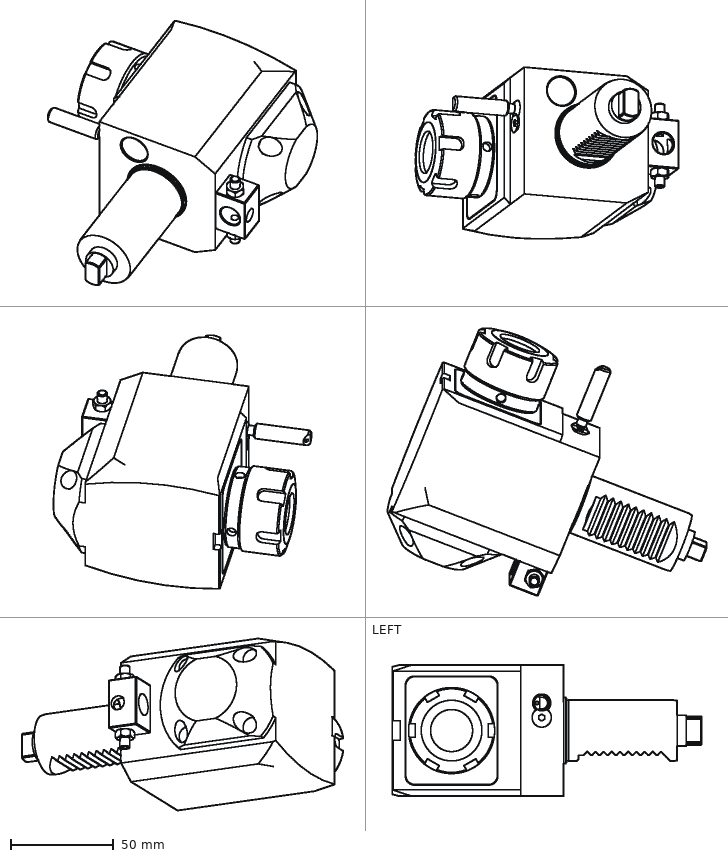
import cadquery as cq
import math


HALF_WIDTH = 32.0
HOUSING_LENGTH = 83.7
PAD_THICKNESS = 3.2
PAD_START_Y = 20.8
SIDE_BEVEL_WIDTH = 11.2
SIDE_BEVEL_ANGLE = 30
BACK_EDGE_CHAMFER = 0.6
CROWN_RADIUS = 148.0
CROWN_TAPER = 15
CROWN_CENTER_X = -9.5
CROWN_BACK_HEIGHT = 31.1
NOTCH_WIDTH = 9.7
NOTCH_LENGTH = 4.0

PLUG_X = -12.8
PLUG_Z = 21.6
PLUG_RADIUS = 7.5
PLUG_DEPTH = 0.8
PLUG_TAPER = 0.5
PANEL_LENGTH = 45.1
PANEL_HEIGHT = 53.2
PANEL_CORNER = 4.5
PANEL_GROOVE_WIDTH = 0.3
PANEL_GROOVE_DEPTH = 0.2

SPINDLE_Y = 54.7
NUT_FACE_X = -64.0
NUT_SHOULDER_X = -62.5
NUT_RIM_X = -61.8
NUT_BACK_X = -43.3
COLLAR_FRONT_X = -42.1
COLLAR_BACK_X = -36.1
NUT_RADIUS = 21.0
NUT_SHOULDER_RADIUS = 20.4
NUT_FACE_RADIUS = 14.8
FACE_LINE_DEPTH = 0.2
NECK_RADIUS = 16.6
COLLAR_RADIUS = 20.0
COLLAR_NECK_RADIUS = 19.3
BORE_RADIUS = 10.3
BORE_DEPTH = 2.3
NUT_SLOTS = 6
SLOT_WIDTH = 6.6
SLOT_END_X = -51.6
UPPER_SLOT_END_X = -50.0
SLOT_FLOOR_RADIUS = 17.8
SLOT_CORNER = 3.0
COLLAR_HOLES = 4
COLLAR_HOLE_RADIUS = 2.3
COLLAR_HOLE_DEPTH = 3.0

CAP_RADIUS = 32.0
CAP_RIM = 3.0
CAP_END_X = 50.5
CAP_FLAT_HALF = 23.0
CAP_FLAT_END_X = 38.0
CAP_FLAT_ANGLE = 30
CAP_HOLES = 4
CAP_HOLE_RADIUS = 4.5
CAP_HOLE_CIRCLE = 24.5

BLOCK_LENGTH_X = 16.0
BLOCK_NEAR_Y = 0.8
BLOCK_FAR_Y = 15.9
BLOCK_HALF_HEIGHT = 12.2
BLOCK_CHAMFER = 0.5
FITTING_X = 39.9
FITTING_Y = 5.9
BLOCK_BORE_RADIUS = 5.3
HEX_CORNERS = 9.4
HEX_HEIGHT = 3.8
HEX_CHAMFER = 0.6
STEM_RADIUS = 2.4
STEM_HEIGHT = 4.8
STEM_CHAMFER = 0.5
FITTING_BORE_RADIUS = 1.8
SIDE_PORT_RADIUS = 3.5

NOZZLE_Y = 10.7
NOZZLE_Z = 13.5
NOZZLE_TIP_X = -65.0
NOZZLE_BACK_X = -37.1
NOZZLE_RADIUS = 3.8
NOZZLE_CHAMFER = 0.9
NOZZLE_BEVEL = 2.9
NOZZLE_NECK_RADIUS = 2.4
NOZZLE_HOLE_RADIUS = 0.8
BALL_RADIUS = 4.8
BALL_EXPOSED = 2.0
BALL_BASE_RADIUS = 4.4
SCREW_Z = 6.3
SCREW_RADIUS = 4.7
SCREW_HEIGHT = 1.4
SCREW_SOCKET_CORNERS = 3.3
SCREW_SOCKET_DEPTH = 0.9

FLANGE_RADIUS = 16.2
FLANGE_LENGTH = 1.5
FLANGE_CHAMFER = 0.6
SHANK_RADIUS = 15.0
SHANK_END_Y = -55.3
SHANK_RELIEF_START_Y = -2.4
SHANK_RELIEF_RADIUS = 14.8
SHANK_END_CHAMFER = 1.8
SHANK_END_RADIUS = 14.6
DRIVE_RADIUS = 7.5
DRIVE_END_Y = -59.6
TANG_HALF_WIDTH = 4.0
TANG_RADIUS = 7.1
TANG_END_Y = HOUSING_LENGTH - 151
TANG_CHAMFER = 0.5
TOOTH_GAPS = 10
TOOTH_TIP_Z = -12.1
TOOTH_ROOT_Z = -10.3
FIRST_GAP_Y = -11.5
LAST_GAP_Y = -47.4
TOOTH_PITCH = (FIRST_GAP_Y - LAST_GAP_Y) / (TOOTH_GAPS - 1)
RACK_START_Y = -7.2
RACK_WALL_CHAMFER = 0.9

OVERLAP = 1.5
PAD_X = -HALF_WIDTH - PAD_THICKNESS


def revolve_about_x(points, y, z=0):
    """Solid of revolution from (x, radius) points about a line parallel to X."""
    outline = cq.Workplane("XY").polyline(points).close()
    return outline.revolve(360, (0, 0, 0), (1, 0, 0)).translate((0, y, z))


def revolve_about_y(points, x=0, z=0):
    """Solid of revolution from (radius, y) points about a line parallel to Y."""
    outline = cq.Workplane("XY").polyline(points).close()
    return outline.revolve(360, (0, 0, 0), (0, 1, 0)).translate((x, 0, z))


def block(x_range, y_range, z_range):
    """Rectangular block between the given limits."""
    size = [high - low for low, high in (x_range, y_range, z_range)]
    return cq.Workplane("XY").box(*size, centered=False).translate((x_range[0], y_range[0], z_range[0]))


def rod_along_x(x_start, x_end, radius, y, z):
    return cq.Workplane("YZ", origin=(x_start, y, z)).circle(radius).extrude(x_end - x_start)


def make_housing():
    bevel_height = HALF_WIDTH - SIDE_BEVEL_WIDTH * math.tan(math.radians(SIDE_BEVEL_ANGLE))
    bevel_x = HALF_WIDTH - SIDE_BEVEL_WIDTH
    pad_height = HALF_WIDTH - PAD_THICKNESS
    section = [
        (PAD_X, -pad_height),
        (-HALF_WIDTH, -HALF_WIDTH),
        (bevel_x, -HALF_WIDTH),
        (HALF_WIDTH, -bevel_height),
        (HALF_WIDTH, bevel_height),
        (bevel_x, HALF_WIDTH),
        (-HALF_WIDTH, HALF_WIDTH),
        (PAD_X, pad_height),
    ]
    housing = cq.Workplane("XZ").polyline(section).close().extrude(-HOUSING_LENGTH)
    housing = housing.faces("<X").edges(">Y").chamfer(BACK_EDGE_CHAMFER)
    housing = housing.cut(
        block((PAD_X, -HALF_WIDTH), (0, PAD_START_Y), (-HALF_WIDTH, HALF_WIDTH))
    )

    growth = HOUSING_LENGTH * math.tan(math.radians(CROWN_TAPER))
    cone = [
        (0, 0),
        (CROWN_RADIUS + growth, 0),
        (CROWN_RADIUS, HOUSING_LENGTH),
        (0, HOUSING_LENGTH),
    ]
    for side in (1, -1):
        axis_z = side * (CROWN_BACK_HEIGHT - CROWN_RADIUS)
        housing = housing.intersect(revolve_about_y(cone, CROWN_CENTER_X, axis_z))

    notch = block(
        (PAD_X, -HALF_WIDTH),
        (HOUSING_LENGTH - NOTCH_LENGTH, HOUSING_LENGTH),
        (-NOTCH_WIDTH / 2, NOTCH_WIDTH / 2),
    )
    return housing.cut(notch)


def make_face_marks():
    """Plug recess in the seating face and thin groove framing the spindle."""
    plug = cq.Workplane("XZ", origin=(PLUG_X, 0, PLUG_Z)).circle(PLUG_RADIUS).extrude(-PLUG_DEPTH)
    plug = plug.faces(">Y").chamfer(PLUG_TAPER)

    def panel(inset):
        frame = cq.Workplane("YZ", origin=(PAD_X, SPINDLE_Y, 0))
        frame = frame.rect(PANEL_LENGTH - 2 * inset, PANEL_HEIGHT - 2 * inset)
        return frame.extrude(PANEL_GROOVE_DEPTH).edges("|X").fillet(PANEL_CORNER - inset)

    return plug.union(panel(0).cut(panel(PANEL_GROOVE_WIDTH)))


def make_spindle():
    floor_x = NUT_FACE_X + BORE_DEPTH
    profile = [
        (floor_x, 0),
        (floor_x, BORE_RADIUS),
        (NUT_FACE_X + FACE_LINE_DEPTH, BORE_RADIUS),
        (NUT_FACE_X + FACE_LINE_DEPTH, NUT_FACE_RADIUS),
        (NUT_FACE_X, NUT_FACE_RADIUS),
        (NUT_SHOULDER_X, NUT_SHOULDER_RADIUS),
        (NUT_RIM_X, NUT_RADIUS),
        (NUT_BACK_X, NUT_RADIUS),
        (NUT_BACK_X, NECK_RADIUS),
        (COLLAR_FRONT_X, NECK_RADIUS),
        (COLLAR_FRONT_X, COLLAR_RADIUS),
        (COLLAR_BACK_X, COLLAR_RADIUS),
        (COLLAR_BACK_X, COLLAR_NECK_RADIUS),
        (PAD_X + OVERLAP, COLLAR_NECK_RADIUS),
        (PAD_X + OVERLAP, 0),
    ]
    spindle = revolve_about_x(profile, SPINDLE_Y)
    axis_start = (0, SPINDLE_Y, 0)
    axis_end = (1, SPINDLE_Y, 0)

    for i in range(NUT_SLOTS):
        angle = 90 + i * 360 / NUT_SLOTS
        on_top = i > NUT_SLOTS / 2
        slot = block(
            (NUT_FACE_X, UPPER_SLOT_END_X if on_top else SLOT_END_X),
            (SPINDLE_Y - SLOT_WIDTH / 2, SPINDLE_Y + SLOT_WIDTH / 2),
            (SLOT_FLOOR_RADIUS, NUT_RADIUS + OVERLAP),
        )
        slot = slot.edges("|Z and >X").fillet(SLOT_CORNER)
        spindle = spindle.cut(slot.rotate(axis_start, axis_end, angle))

    hole_x = (COLLAR_FRONT_X + COLLAR_BACK_X) / 2
    hole = cq.Workplane("XY", origin=(hole_x, SPINDLE_Y, COLLAR_RADIUS - COLLAR_HOLE_DEPTH))
    hole = hole.circle(COLLAR_HOLE_RADIUS).extrude(COLLAR_HOLE_DEPTH + OVERLAP)
    for i in range(COLLAR_HOLES):
        spindle = spindle.cut(hole.rotate(axis_start, axis_end, i * 360 / COLLAR_HOLES))
    return spindle


def make_cap():
    rim_x = HALF_WIDTH + CAP_RIM
    inner_x = HALF_WIDTH - OVERLAP
    end_radius = CAP_RADIUS - (CAP_END_X - rim_x)
    profile = [
        (inner_x, 0),
        (inner_x, CAP_RADIUS),
        (rim_x, CAP_RADIUS),
        (CAP_END_X, end_radius),
        (CAP_END_X, 0),
    ]
    cap = revolve_about_x(profile, SPINDLE_Y)

    slope_drop = (CAP_END_X - CAP_FLAT_END_X) * math.tan(math.radians(CAP_FLAT_ANGLE))
    end_half = CAP_FLAT_HALF - slope_drop
    envelope = [
        (inner_x, -CAP_FLAT_HALF),
        (CAP_FLAT_END_X, -CAP_FLAT_HALF),
        (CAP_END_X, -end_half),
        (CAP_END_X, end_half),
        (CAP_FLAT_END_X, CAP_FLAT_HALF),
        (inner_x, CAP_FLAT_HALF),
    ]
    cap = cap.intersect(cq.Workplane("XZ").polyline(envelope).close().extrude(-HOUSING_LENGTH))

    holes = cq.Workplane("YZ", origin=(rim_x, SPINDLE_Y, 0))
    holes = holes.polarArray(CAP_HOLE_CIRCLE, 45, 360, CAP_HOLES).circle(CAP_HOLE_RADIUS)
    return cap.cut(holes.extrude(CAP_END_X - rim_x))


def make_coolant_block():
    body = block(
        (HALF_WIDTH - OVERLAP, HALF_WIDTH + BLOCK_LENGTH_X),
        (BLOCK_NEAR_Y, BLOCK_FAR_Y),
        (-BLOCK_HALF_HEIGHT, BLOCK_HALF_HEIGHT),
    )
    body = body.faces(">X or >Z or <Z").edges("not(<X)").chamfer(BLOCK_CHAMFER)

    foot = cq.Workplane("XY", origin=(FITTING_X, FITTING_Y, BLOCK_HALF_HEIGHT - OVERLAP))
    hexagon = foot.polygon(6, HEX_CORNERS).extrude(OVERLAP + HEX_HEIGHT)
    hex_disc = foot.workplane(offset=OVERLAP).circle(HEX_CORNERS / 2).extrude(HEX_HEIGHT)
    hexagon = hexagon.intersect(hex_disc.chamfer(HEX_CHAMFER))
    stem = foot.circle(STEM_RADIUS).extrude(OVERLAP + HEX_HEIGHT + STEM_HEIGHT)
    fitting = hexagon.union(stem.faces(">Z").chamfer(STEM_CHAMFER))
    body = body.union(fitting).union(fitting.mirror("XY"))

    cross_bore = cq.Workplane("XZ", origin=(FITTING_X, 0, 0)).circle(BLOCK_BORE_RADIUS)
    body = body.cut(cross_bore.extrude(-BLOCK_FAR_Y))
    mouth = cq.Workplane("XZ", origin=(FITTING_X, BLOCK_NEAR_Y, 0))
    mouth = mouth.circle(BLOCK_BORE_RADIUS + BLOCK_CHAMFER).extrude(-BLOCK_CHAMFER, taper=45)
    body = body.cut(mouth)
    fitting_top = BLOCK_HALF_HEIGHT + HEX_HEIGHT + STEM_HEIGHT
    fitting_bore = cq.Workplane("XY", origin=(FITTING_X, FITTING_Y, 0)).circle(FITTING_BORE_RADIUS)
    body = body.cut(fitting_bore.extrude(fitting_top, both=True))
    side_port = rod_along_x(FITTING_X, HALF_WIDTH + BLOCK_LENGTH_X, SIDE_PORT_RADIUS, FITTING_Y, 0)
    return body.cut(side_port)


def make_nozzle():
    tube = rod_along_x(NOZZLE_TIP_X, NOZZLE_BACK_X, NOZZLE_RADIUS, NOZZLE_Y, NOZZLE_Z)
    tube = tube.faces("<X or >X").chamfer(NOZZLE_CHAMFER)
    side_y = NOZZLE_Y + NOZZLE_RADIUS
    bevel = (
        cq.Workplane("XY", origin=(0, 0, NOZZLE_Z))
        .moveTo(NOZZLE_TIP_X, side_y - NOZZLE_BEVEL)
        .lineTo(NOZZLE_TIP_X + NOZZLE_BEVEL, side_y)
        .lineTo(NOZZLE_TIP_X, side_y)
        .close()
        .extrude(NOZZLE_RADIUS, both=True)
    )
    tube = tube.cut(bevel)
    outlet_y = side_y - NOZZLE_BEVEL / 2
    outlet_end_x = NOZZLE_TIP_X + 2 * NOZZLE_BEVEL
    outlet = rod_along_x(NOZZLE_TIP_X, outlet_end_x, NOZZLE_HOLE_RADIUS, outlet_y, NOZZLE_Z)
    neck = rod_along_x(NOZZLE_BACK_X, -HALF_WIDTH, NOZZLE_NECK_RADIUS, NOZZLE_Y, NOZZLE_Z)

    sunk = math.sqrt(BALL_RADIUS**2 - BALL_BASE_RADIUS**2)
    ball = cq.Workplane("XY").sphere(BALL_RADIUS).translate((sunk - HALF_WIDTH, NOZZLE_Y, NOZZLE_Z))
    exposed = rod_along_x(-HALF_WIDTH - BALL_EXPOSED, 0, BALL_RADIUS, NOZZLE_Y, NOZZLE_Z)
    return tube.cut(outlet).union(neck).union(ball.intersect(exposed))


def make_screw():
    head_x = -HALF_WIDTH - SCREW_HEIGHT
    base_radius = SCREW_RADIUS - SCREW_HEIGHT
    profile = [
        (head_x, 0),
        (head_x, SCREW_RADIUS),
        (-HALF_WIDTH, base_radius),
        (-HALF_WIDTH + OVERLAP, base_radius),
        (-HALF_WIDTH + OVERLAP, 0),
    ]
    screw = revolve_about_x(profile, NOZZLE_Y, SCREW_Z)
    socket = cq.Workplane("YZ", origin=(head_x, NOZZLE_Y, SCREW_Z)).transformed(rotate=(0, 0, 90))
    return screw.cut(socket.polygon(6, SCREW_SOCKET_CORNERS).extrude(SCREW_SOCKET_DEPTH))


def make_shank():
    profile = [
        (0, OVERLAP),
        (FLANGE_RADIUS, OVERLAP),
        (FLANGE_RADIUS, FLANGE_CHAMFER - FLANGE_LENGTH),
        (FLANGE_RADIUS - FLANGE_CHAMFER, -FLANGE_LENGTH),
        (SHANK_RELIEF_RADIUS, -FLANGE_LENGTH),
        (SHANK_RELIEF_RADIUS, SHANK_RELIEF_START_Y),
        (SHANK_RADIUS, SHANK_RELIEF_START_Y),
        (SHANK_RADIUS, SHANK_END_Y + SHANK_END_CHAMFER),
        (SHANK_END_RADIUS, SHANK_END_Y),
        (DRIVE_RADIUS, SHANK_END_Y),
        (DRIVE_RADIUS, DRIVE_END_Y),
        (0, DRIVE_END_Y),
    ]
    return revolve_about_y(profile).cut(make_rack_cutter())


def make_rack_cutter():
    """Material removed below the shank to leave its row of teeth."""
    below_z = -SHANK_RADIUS - OVERLAP
    half_gap = TOOTH_TIP_Z - TOOTH_ROOT_Z
    points = [
        (RACK_START_Y + RACK_WALL_CHAMFER, below_z),
        (RACK_START_Y + RACK_WALL_CHAMFER, -SHANK_RADIUS),
        (RACK_START_Y, -SHANK_RADIUS + RACK_WALL_CHAMFER),
        (RACK_START_Y, TOOTH_TIP_Z),
    ]
    for i in range(TOOTH_GAPS):
        gap_y = FIRST_GAP_Y - i * TOOTH_PITCH
        points.append((gap_y - half_gap, TOOTH_TIP_Z))
        points.append((gap_y, TOOTH_ROOT_Z))
        if i < TOOTH_GAPS - 1:
            points.append((gap_y + half_gap, TOOTH_TIP_Z))
    points.append((LAST_GAP_Y - (TOOTH_ROOT_Z - below_z), below_z))
    return cq.Workplane("YZ").polyline(points).close().extrude(SHANK_RADIUS, both=True)


def make_tang():
    length = DRIVE_END_Y - TANG_END_Y
    tang = cq.Workplane("XZ", origin=(0, DRIVE_END_Y + OVERLAP, 0)).circle(TANG_RADIUS)
    tang = tang.extrude(length + OVERLAP).faces("<Y").chamfer(TANG_CHAMFER)
    flats = block(
        (-TANG_HALF_WIDTH, TANG_HALF_WIDTH),
        (TANG_END_Y, DRIVE_END_Y + OVERLAP),
        (-TANG_RADIUS, TANG_RADIUS),
    )
    return tang.intersect(flats).faces("<X or >X").chamfer(TANG_CHAMFER)


result = make_housing().cut(make_face_marks())
for piece in (
    make_spindle(),
    make_cap(),
    make_coolant_block(),
    make_nozzle(),
    make_screw(),
    make_shank(),
    make_tang(),
):
    result = result.union(piece)